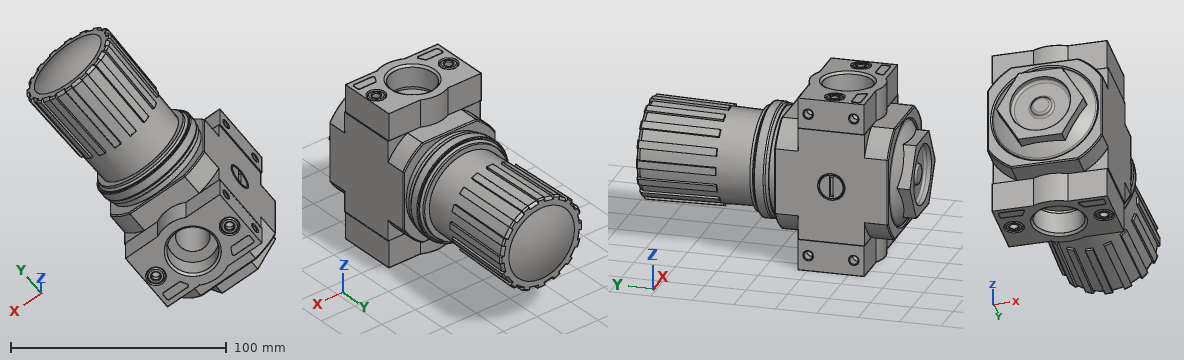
import cadquery as cq
import math


BODY_WIDTH = 55.0
BODY_HALF = BODY_WIDTH / 2
BAND_HALF = 16.0
CORNER_RADIUS = math.hypot(BODY_HALF, BAND_HALF)
BODY_CHAMFER = 0.6
BORE_DIAMETER = 16.0

COLLAR_TOP = 37.5
COLLAR_RADIUS = 27.4
COLLAR_BOTTOM = 32.9
COLLAR_CHAMFER = 0.4
LIP_RADIUS = 26.85
LIP_TOP = 32.1
LIP_BOTTOM = 30.5
GROOVE_RADIUS = 26.0

KNOB_TIP = 99.0
KNOB_SHOULDER = 95.2
DOME_RADIUS = 19.5
SEAT_RADIUS = 26.3
SEAT_HEIGHT = 0.3
RING_RADIUS = 50.16 / 2
RING_BOTTOM = 38.7
RING_TOP = 40.0
NECK_BOTTOM_RADIUS = 22.3
GRIP_TOP_RADIUS = 23.5
GRIP_CHAMFER_HEIGHT = 1.6
GRIP_CHAMFER_WIDTH = 1.1
RIB_COUNT = 16
RIB_WIDTH = 3.7
RIB_BOTTOM = 57.0
RIB_BOTTOM_RADIUS = 23.7
RIB_TOP_RADIUS = 24.5
RIB_CHAMFER = 0.8

PLUG_RADIUS = 25.08
PLUG_DEPTH = 6.0
PLUG_CHAMFER = 0.7
HEX_ACROSS_FLATS = 36.0
HEX_END = -36.0
DOME_MIDDLE = (20.8, -29.7)
DOME_END = (17.0, -31.6)
RECESS_RADIUS = 29.0 / 2
RECESS_FLOOR_RADIUS = 26.4 / 2
RECESS_ROUND = RECESS_RADIUS - RECESS_FLOOR_RADIUS
RECESS_DEPTH = 3.5
BUTTON_RADIUS = 5.0
BUTTON_HEIGHT = 2.0
BUTTON_ROUND = 1.15

FLANGE_END = 42.5
FLANGE_LEFT = -28.0
FLANGE_RIGHT = 27.0
FLANGE_MIDDLE = (FLANGE_LEFT + FLANGE_RIGHT) / 2
BULGE_RADIUS = 18.0
PORT_DIAMETER = 24.12
PORT_RIM_DIAMETER = 26.4
SEAL_DIAMETER = 29.7
SEAL_DEPTH = 3.1
SIDE_HOLE_Y = 11.0
SIDE_HOLE_Z = 35.0
THREAD_CORE_DIAMETER = 4.13
THREAD_RIM_DIAMETER = 5.0
SIDE_HOLE_DEPTH = 5.0
DRILL_POINT_ANGLE = 118.0
LABEL_OUTER = 25.3
LABEL_INNER_TOP = 14.8
LABEL_INNER_BOTTOM = 12.3
LABEL_TOP = -9.0
LABEL_BOTTOM = -13.5
LABEL_ROUND = 0.9
LABEL_DEPTH = 0.2

SCREW_X = 21.5
SCREW_DIAMETER = 8.5
SCREW_RIM_DIAMETER = 9.6
SCREW_RIM_CHAMFER = (SCREW_RIM_DIAMETER - SCREW_DIAMETER) / 2
SCREW_CHAMFER = 0.65
SOCKET_DEPTH = 3.0

GAUGE_RIM_DIAMETER = 13.16
GAUGE_FACE_DIAMETER = 11.45
GAUGE_DIAMETER = (GAUGE_RIM_DIAMETER + GAUGE_FACE_DIAMETER) / 2
GAUGE_CHAMFER = (GAUGE_RIM_DIAMETER - GAUGE_FACE_DIAMETER) / 4
GAUGE_DEPTH = 8.0
SLOT_LENGTH = 9.6
SLOT_WIDTH = 1.9
SLOT_DEPTH = 2.0


def spin(profile):
    """Revolve a profile of radius (X) and height (Y) about the spindle axis."""
    return profile.close().revolve(360, (0, 0, 0), (0, 1, 0))


def drilled_hole(depth):
    """Threaded blind hole with a chamfered rim and a drill point, going down from the origin."""
    core = THREAD_CORE_DIAMETER / 2
    rim = THREAD_RIM_DIAMETER / 2
    point = core / math.tan(math.radians(DRILL_POINT_ANGLE / 2))
    section = (
        cq.Workplane("XZ")
        .moveTo(0, 0)
        .lineTo(rim, 0)
        .lineTo(core, core - rim)
        .lineTo(core, -depth)
        .lineTo(0, -depth - point)
    )
    return section.close().revolve(360, (0, 0, 0), (0, 1, 0))


def chamfered_pin(diameter, chamfer, depth):
    """Pin with its chamfered end at the origin, going down."""
    return cq.Workplane("XY").circle(diameter / 2).extrude(-depth).faces(">Z").chamfer(chamfer)


def flared_hole(diameter, chamfer, depth):
    """Cutter for a hole with a chamfered rim, going down from the origin."""
    rim = cq.Workplane("XY").circle(diameter / 2 + chamfer).workplane(offset=-chamfer)
    flare = rim.circle(diameter / 2).loft()
    return cq.Workplane("XY").circle(diameter / 2).extrude(-depth).union(flare)


def face_down_x(shape):
    """Turn a feature that opens at +Z so that it opens at -X."""
    return shape.rotate((0, 0, 0), (0, 1, 0), -90)


def face_down_y(shape):
    """Turn a feature that opens at +Z so that it opens at -Y."""
    return shape.rotate((0, 0, 0), (1, 0, 0), 90)


def build_housing():
    cube = cq.Workplane("XY").box(BODY_WIDTH, BODY_WIDTH, BODY_WIDTH)
    rounded = cube.intersect(cq.Workplane("XZ").circle(CORNER_RADIUS).extrude(BODY_HALF, both=True))
    rounded = rounded.faces("<Y or >Y").chamfer(BODY_CHAMFER)
    body = rounded.union(cq.Workplane("XY").box(BODY_WIDTH, 2 * BAND_HALF, BODY_WIDTH))
    collar = spin(
        cq.Workplane("XY")
        .moveTo(0, 0)
        .lineTo(GROOVE_RADIUS, 0)
        .lineTo(GROOVE_RADIUS, LIP_BOTTOM)
        .lineTo(LIP_RADIUS, LIP_BOTTOM)
        .lineTo(LIP_RADIUS, LIP_TOP)
        .lineTo(COLLAR_RADIUS, COLLAR_BOTTOM)
        .lineTo(COLLAR_RADIUS, COLLAR_TOP - COLLAR_CHAMFER)
        .lineTo(COLLAR_RADIUS - COLLAR_CHAMFER, COLLAR_TOP)
        .lineTo(0, COLLAR_TOP)
    )
    bore = cq.Workplane("XY").circle(BORE_DIAMETER / 2).extrude(BODY_HALF, both=True)
    plug_seat = face_down_y(flared_hole(2 * PLUG_RADIUS, PLUG_CHAMFER, PLUG_DEPTH))
    gauge_seat = face_down_x(flared_hole(GAUGE_DIAMETER, GAUGE_CHAMFER, GAUGE_DEPTH))
    return (
        body.union(collar)
        .cut(bore)
        .cut(plug_seat.translate((0, -BODY_HALF, 0)))
        .cut(gauge_seat.translate((-BODY_HALF, 0, 0)))
    )


def build_rib():
    """One tapered rib on the +X side, reaching inwards into the grip."""
    inner = NECK_BOTTOM_RADIUS - 2 * RIB_CHAMFER
    return (
        cq.Workplane("XY")
        .moveTo(inner, RIB_BOTTOM)
        .lineTo(RIB_BOTTOM_RADIUS, RIB_BOTTOM)
        .lineTo(RIB_TOP_RADIUS, KNOB_SHOULDER - RIB_CHAMFER)
        .lineTo(RIB_TOP_RADIUS - RIB_CHAMFER, KNOB_SHOULDER)
        .lineTo(inner, KNOB_SHOULDER)
        .close()
        .extrude(RIB_WIDTH / 2, both=True)
    )


def build_knob():
    dome_rise = KNOB_TIP - KNOB_SHOULDER
    sphere_radius = (DOME_RADIUS**2 + dome_rise**2) / (2 * dome_rise)
    half_angle = math.asin(DOME_RADIUS / sphere_radius) / 2
    dome_middle = (
        sphere_radius * math.sin(half_angle),
        KNOB_TIP - sphere_radius * (1 - math.cos(half_angle)),
    )
    knob = spin(
        cq.Workplane("XY")
        .moveTo(0, COLLAR_TOP)
        .lineTo(SEAT_RADIUS, COLLAR_TOP)
        .lineTo(SEAT_RADIUS, COLLAR_TOP + SEAT_HEIGHT)
        .lineTo(RING_RADIUS, RING_BOTTOM)
        .lineTo(RING_RADIUS, RING_TOP)
        .lineTo(NECK_BOTTOM_RADIUS, RING_TOP)
        .lineTo(GRIP_TOP_RADIUS, KNOB_SHOULDER - GRIP_CHAMFER_HEIGHT)
        .lineTo(GRIP_TOP_RADIUS - GRIP_CHAMFER_WIDTH, KNOB_SHOULDER)
        .lineTo(DOME_RADIUS, KNOB_SHOULDER)
        .threePointArc(dome_middle, (0, KNOB_TIP))
    )
    rib = build_rib()
    for index in range(RIB_COUNT):
        knob = knob.union(rib.rotate((0, 0, 0), (0, 1, 0), index * 360 / RIB_COUNT))
    return knob


def build_hex_plug():
    dome = spin(
        cq.Workplane("XY")
        .moveTo(0, PLUG_DEPTH - BODY_HALF)
        .lineTo(PLUG_RADIUS, PLUG_DEPTH - BODY_HALF)
        .lineTo(PLUG_RADIUS, PLUG_CHAMFER - BODY_HALF)
        .lineTo(PLUG_RADIUS - PLUG_CHAMFER, -BODY_HALF)
        .threePointArc(DOME_MIDDLE, DOME_END)
        .lineTo(0, DOME_END[1])
    )
    hexagon = (
        cq.Workplane("XZ", origin=(0, HEX_END, 0))
        .polygon(6, HEX_ACROSS_FLATS / math.cos(math.radians(30)))
        .extrude(HEX_END + BODY_HALF)
    )
    floor = HEX_END + RECESS_DEPTH
    recess = spin(
        cq.Workplane("XY")
        .moveTo(0, HEX_END)
        .lineTo(RECESS_RADIUS, HEX_END)
        .lineTo(RECESS_RADIUS, floor - RECESS_ROUND)
        .radiusArc((RECESS_FLOOR_RADIUS, floor), -RECESS_ROUND)
        .lineTo(0, floor)
    )
    button = spin(
        cq.Workplane("XY")
        .moveTo(0, floor)
        .lineTo(BUTTON_RADIUS + BUTTON_ROUND, floor)
        .radiusArc((BUTTON_RADIUS, floor - BUTTON_HEIGHT / 2), -BUTTON_ROUND)
        .radiusArc((BUTTON_RADIUS - BUTTON_ROUND, floor - BUTTON_HEIGHT), BUTTON_ROUND)
        .lineTo(0, floor - BUTTON_HEIGHT)
    )
    return dome.union(hexagon).cut(recess).union(button)


def label_pocket():
    """Cutter for the shallow label field on the +X half of the flange end."""
    return (
        cq.Workplane("XY")
        .polyline([
            (LABEL_OUTER, LABEL_TOP),
            (LABEL_INNER_TOP, LABEL_TOP),
            (LABEL_INNER_BOTTOM, LABEL_BOTTOM),
            (LABEL_OUTER, LABEL_BOTTOM),
        ])
        .close()
        .extrude(-LABEL_DEPTH)
        .edges("|Z")
        .fillet(LABEL_ROUND)
    )


def build_flange():
    """Flange on the +Z side of the housing."""
    thickness = FLANGE_END - BODY_HALF
    plate = (
        cq.Workplane("XY", origin=(FLANGE_MIDDLE, 0, BODY_HALF))
        .rect(FLANGE_RIGHT - FLANGE_LEFT, 2 * BAND_HALF)
        .extrude(thickness)
    )
    bulge = cq.Workplane("XY", origin=(0, 0, BODY_HALF)).circle(BULGE_RADIUS).extrude(thickness)
    rim_chamfer = (PORT_RIM_DIAMETER - PORT_DIAMETER) / 2
    port = flared_hole(PORT_DIAMETER, rim_chamfer, thickness).translate((0, 0, FLANGE_END))
    seal_recess = cq.Workplane("XY", origin=(0, 0, BODY_HALF)).circle(SEAL_DIAMETER / 2).extrude(SEAL_DEPTH)
    flange = plate.union(bulge).cut(port).cut(seal_recess)

    screw_hole = flared_hole(SCREW_DIAMETER, SCREW_RIM_CHAMFER, thickness)
    side_hole = face_down_x(drilled_hole(SIDE_HOLE_DEPTH))
    label = label_pocket()
    labels = label.union(label.mirror("YZ"))
    flange = flange.cut(labels.translate((FLANGE_MIDDLE, 0, FLANGE_END)))
    for side in (-1, 1):
        flange = flange.cut(screw_hole.translate((side * SCREW_X, 0, FLANGE_END)))
        flange = flange.cut(side_hole.translate((FLANGE_LEFT, side * SIDE_HOLE_Y, SIDE_HOLE_Z)))
    return flange


def build_screw():
    """Socket screw that fills its hole in the +Z flange on the +X side."""
    pin = chamfered_pin(SCREW_DIAMETER, SCREW_CHAMFER, FLANGE_END - BODY_HALF)
    return pin.cut(drilled_hole(SOCKET_DEPTH)).translate((SCREW_X, 0, FLANGE_END))


def build_gauge_plug():
    pin = chamfered_pin(GAUGE_DIAMETER, GAUGE_CHAMFER, GAUGE_DEPTH)
    slot = cq.Workplane("XY").rect(SLOT_LENGTH, SLOT_WIDTH).extrude(-SLOT_DEPTH)
    return face_down_x(pin.cut(slot)).translate((-BODY_HALF, 0, 0))


housing = build_housing()
knob = build_knob()
hex_plug = build_hex_plug()
gauge_plug = build_gauge_plug()

upper_flange = build_flange()
flanges = [upper_flange, upper_flange.mirror("XY")]

upper_screw = build_screw()
upper_screws = [upper_screw, upper_screw.mirror("YZ")]
screws = upper_screws + [screw.mirror("XY") for screw in upper_screws]

bodies = [housing, knob, hex_plug, gauge_plug, *flanges, *screws]
result = cq.Compound.makeCompound([body.val() for body in bodies])